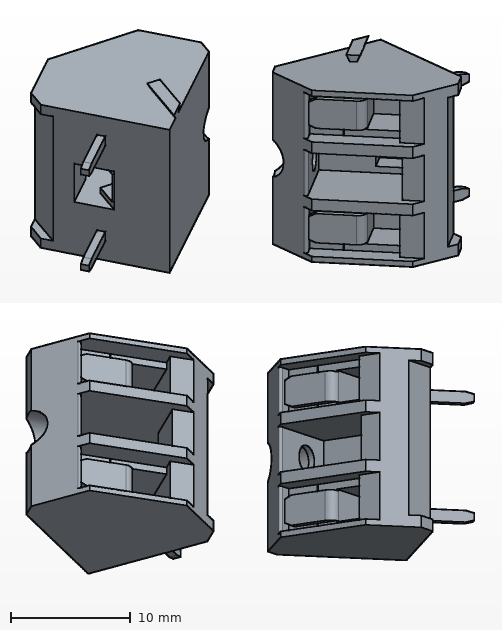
import cadquery as cq
import math


LENGTH = 12.5
DEPTH = 12.0
HEIGHT = 15.25
ENTRY_BEVEL = 6.0
BACK_CHAMFER = 1.0
FRONT_CHAMFER = 1.25
DEEP_CHAMFER = 2.33
CHAMFER_FLANGE = 1.0

CELL_COUNT = 3
CELL_WALL = 1.0
CELL_PITCH = HEIGHT / CELL_COUNT
CELL_HEIGHT = CELL_PITCH - CELL_WALL
CELL_CENTRES = [CELL_PITCH * (i + 0.5) for i in range(CELL_COUNT)]
CONTACT_CENTRES = [CELL_CENTRES[0], CELL_CENTRES[-1]]
EMPTY_CENTRE = CELL_CENTRES[1]

ENTRY_FACE_OUT = ENTRY_BEVEL / math.sqrt(2)
SLOT_DEPTH = 0.87
SHELF_OUT = ENTRY_FACE_OUT - SLOT_DEPTH
SHELF_END = 5.43
EMPTY_SHELF_END = 5.23
CAVITY_END = 13.18
CAVITY_FLOOR_OUT = -2.9
LIP_RADIUS = 0.2

WINDOW_LEFT = 4.17
WIRE_SPAN = 2.95
WIRE_END = SHELF_END + WIRE_SPAN
WIRE_POCKET_HEIGHT = 2.94
WIRE_POCKET_OUT = -5.05

SCREW_AXIS_OUT = (DEPTH - LENGTH) / math.sqrt(2)
SCREW_HOLE_DIAMETER = 2.3
SCREW_HEAD_DIAMETER = 3.6
SCREW_SEAT_THICKNESS = 0.56

TAB_HEIGHT = 0.6
TAB_TOP_WIDTH = 1.19
TAB_ROOT_WIDTH = 0.6
TAB_ACROSS = 10.31
TAB_END_OUT = -3.14

CAGE_TOP_OUT = 2.31
CAGE_BASE = 1.32
WIRE_HOLE_HEIGHT = 2.79
CAGE_GROOVE_ACROSS = 10.33
CAGE_GROOVE = 0.07
TONGUE_RISE = 0.61
TONGUE_WIDTH = 2.59
TONGUE_BEND = 0.8
TONGUE_TOP_OUT = CAGE_TOP_OUT + TONGUE_RISE
TONGUE_ROOT_OUT = TONGUE_TOP_OUT - TONGUE_BEND
TIP_LENGTH = 0.6
TIP_INSET = 0.28
PIN_LEFT = 6.15
PIN_THICKNESS = 0.73
PIN_WIDTH = 1.0
PIN_LENGTH = 4.5
TIP_TAPER = 0.75
PIN_TIP_WIDTH = 0.63

BIG = LENGTH + DEPTH


def slanted_block(across, out, height, z_centre):
    """Block given by its ranges across and out in the 45-degree coordinates."""
    return (
        cq.Workplane("XY")
        .box(across[1] - across[0], out[1] - out[0], height, centered=False)
        .translate((across[0], out[0], z_centre - height / 2))
        .rotate((0, 0, 0), (0, 0, 1), 45)
    )


def slanted_cylinder(diameter, start, end, z_centre):
    """Cylinder on the screw axis between two positions across."""
    return (
        cq.Workplane("YZ", origin=(start, 0, 0))
        .center(SCREW_AXIS_OUT, z_centre)
        .circle(diameter / 2)
        .extrude(end - start)
        .rotate((0, 0, 0), (0, 0, 1), 45)
    )


def housing_body():
    """Solid housing, its front left corner cut deeper between two flanges."""
    outline = [
        (FRONT_CHAMFER, 0),
        (LENGTH, 0),
        (LENGTH, DEPTH - BACK_CHAMFER),
        (LENGTH - BACK_CHAMFER, DEPTH),
        (ENTRY_BEVEL, DEPTH),
        (0, DEPTH - ENTRY_BEVEL),
        (0, FRONT_CHAMFER),
    ]
    deep_corner = (
        cq.Workplane("XY", origin=(0, 0, CHAMFER_FLANGE))
        .polyline([(0, 0), (DEEP_CHAMFER, 0), (0, DEEP_CHAMFER)])
        .close()
        .extrude(HEIGHT - 2 * CHAMFER_FLANGE)
    )
    return cq.Workplane("XY").polyline(outline).close().extrude(HEIGHT).cut(deep_corner)


def entry_slot(z_centre):
    """Slot along the entry bevel, ending in a wall square to it."""
    return slanted_block((0, CAVITY_END), (SHELF_OUT, BIG), CELL_HEIGHT, z_centre)


def lip_rounding(z_centre):
    """Tip cut off the sharp wedge between a slot end wall and the back face, leaving it rounded."""
    tip_x = CAVITY_END * math.sqrt(2) - DEPTH
    tangent = LIP_RADIUS / math.tan(math.radians(45 / 2))
    slant = tangent * math.sqrt(0.5)
    nose_x = tip_x + tangent - LIP_RADIUS
    nose_y = DEPTH - LIP_RADIUS
    return (
        cq.Workplane("XY", origin=(0, 0, z_centre - CELL_HEIGHT / 2))
        .moveTo(tip_x, DEPTH)
        .lineTo(tip_x + tangent, DEPTH)
        .threePointArc((nose_x, nose_y), (tip_x + slant, DEPTH - slant))
        .close()
        .extrude(CELL_HEIGHT)
    )


def cage_cavity(shelf_end, z_centre):
    """Space under the slot for a contact cage, starting below the slot's shelf."""
    return slanted_block((shelf_end, CAVITY_END), (CAVITY_FLOOR_OUT, SHELF_OUT), CELL_HEIGHT, z_centre)


def board_window():
    """Opening from the board face into the empty cavity, slanted on its right side."""
    corner = SHELF_END * math.sqrt(2)
    return (
        cq.Workplane("XY", origin=(0, 0, EMPTY_CENTRE - CELL_HEIGHT / 2))
        .polyline([(WINDOW_LEFT, 0), (corner, 0), (WINDOW_LEFT, corner - WINDOW_LEFT)])
        .close()
        .extrude(CELL_HEIGHT)
    )


def wire_pocket():
    """Recess in the empty cavity's floor."""
    out = (WIRE_POCKET_OUT, CAVITY_FLOOR_OUT)
    return slanted_block((SHELF_END, WIRE_END), out, WIRE_POCKET_HEIGHT, EMPTY_CENTRE)


def screw_hole():
    """Counterbored hole from the slot end wall out through the far corner."""
    seat = CAVITY_END + SCREW_SEAT_THICKNESS
    hole = slanted_cylinder(SCREW_HOLE_DIAMETER, CAVITY_END, seat, EMPTY_CENTRE)
    return hole.union(slanted_cylinder(SCREW_HEAD_DIAMETER, seat, BIG, EMPTY_CENTRE))


def dovetail_tab():
    """Slanted tab, wider at its top, trimmed flush with the right face."""
    profile = [
        (TAB_ACROSS - TAB_ROOT_WIDTH / 2, HEIGHT),
        (TAB_ACROSS + TAB_ROOT_WIDTH / 2, HEIGHT),
        (TAB_ACROSS + TAB_TOP_WIDTH / 2, HEIGHT + TAB_HEIGHT),
        (TAB_ACROSS - TAB_TOP_WIDTH / 2, HEIGHT + TAB_HEIGHT),
    ]
    tab = (
        cq.Workplane("XZ", origin=(0, TAB_END_OUT, 0))
        .polyline(profile)
        .close()
        .extrude(BIG)
        .rotate((0, 0, 0), (0, 0, 1), 45)
    )
    flush = cq.Workplane("XY").box(LENGTH, DEPTH, HEIGHT + TAB_HEIGHT, centered=False)
    return tab.intersect(flush)


def contact_cage(z_centre):
    """Block filling the cavity, with a blind wire hole, a tongue seat and a fine groove across the top."""
    hole_bottom = CAVITY_FLOOR_OUT + CAGE_BASE
    cage_out = (CAVITY_FLOOR_OUT, CAGE_TOP_OUT)
    cage = slanted_block((SHELF_END, CAVITY_END), cage_out, CELL_HEIGHT, z_centre)
    groove = slanted_block(
        (CAGE_GROOVE_ACROSS - CAGE_GROOVE / 2, CAGE_GROOVE_ACROSS + CAGE_GROOVE / 2),
        (CAGE_TOP_OUT - CAGE_GROOVE, CAGE_TOP_OUT),
        CELL_HEIGHT,
        z_centre,
    )
    hole_out = (hole_bottom, CAGE_TOP_OUT)
    wire_hole = slanted_block((SHELF_END, WIRE_END), hole_out, WIRE_HOLE_HEIGHT, z_centre)
    tongue_seat = slanted_block(
        (WIRE_END, WIRE_END + TONGUE_BEND), (TONGUE_ROOT_OUT, CAGE_TOP_OUT), TONGUE_WIDTH, z_centre
    )
    return cage.cut(groove).cut(wire_hole).cut(tongue_seat)


def contact_tongue(z_centre):
    """Tongue on the cage, bent round at the wire hole and tapered at its tip."""
    bend_mid = TONGUE_BEND * (1 - math.sqrt(0.5))
    side = (
        cq.Workplane("XY", origin=(0, 0, z_centre - TONGUE_WIDTH / 2))
        .moveTo(WIRE_END, TONGUE_ROOT_OUT)
        .threePointArc(
            (WIRE_END + bend_mid, TONGUE_TOP_OUT - bend_mid), (WIRE_END + TONGUE_BEND, TONGUE_TOP_OUT)
        )
        .lineTo(CAVITY_END, TONGUE_TOP_OUT)
        .lineTo(CAVITY_END, TONGUE_ROOT_OUT)
        .close()
        .extrude(TONGUE_WIDTH)
    )
    half = TONGUE_WIDTH / 2
    plan = (
        cq.Workplane("XZ", origin=(0, TONGUE_TOP_OUT, z_centre))
        .polyline(
            [
                (WIRE_END, -half),
                (CAVITY_END - TIP_LENGTH, -half),
                (CAVITY_END, TIP_INSET - half),
                (CAVITY_END, half - TIP_INSET),
                (CAVITY_END - TIP_LENGTH, half),
                (WIRE_END, half),
            ]
        )
        .close()
        .extrude(TONGUE_BEND)
    )
    return side.intersect(plan).rotate((0, 0, 0), (0, 0, 1), 45)


def contact_pin(z_centre):
    """Flat pin from the cage floor to beyond the board face, tapered at its tip."""
    half = PIN_WIDTH / 2
    half_tip = PIN_TIP_WIDTH / 2
    root = PIN_LEFT + PIN_THICKNESS + CAVITY_FLOOR_OUT * math.sqrt(2)
    profile = [
        (root, -half),
        (root, half),
        (TIP_TAPER - PIN_LENGTH, half),
        (-PIN_LENGTH, half_tip),
        (-PIN_LENGTH, -half_tip),
        (TIP_TAPER - PIN_LENGTH, -half),
    ]
    return cq.Workplane("YZ", origin=(PIN_LEFT, 0, z_centre)).polyline(profile).close().extrude(PIN_THICKNESS)


def contact(z_centre):
    return contact_cage(z_centre).union(contact_tongue(z_centre)).union(contact_pin(z_centre))


contacts = [contact(z) for z in CONTACT_CENTRES]

housing = housing_body()
for z in CELL_CENTRES:
    housing = housing.cut(entry_slot(z)).cut(lip_rounding(z))
for z in CONTACT_CENTRES:
    housing = housing.cut(cage_cavity(SHELF_END, z)).cut(contact_pin(z))
housing = housing.cut(cage_cavity(EMPTY_SHELF_END, EMPTY_CENTRE))
housing = housing.cut(board_window()).cut(wire_pocket()).cut(screw_hole())
housing = housing.union(dovetail_tab())

result = cq.Compound.makeCompound([housing.val(), *[body.val() for body in contacts]])